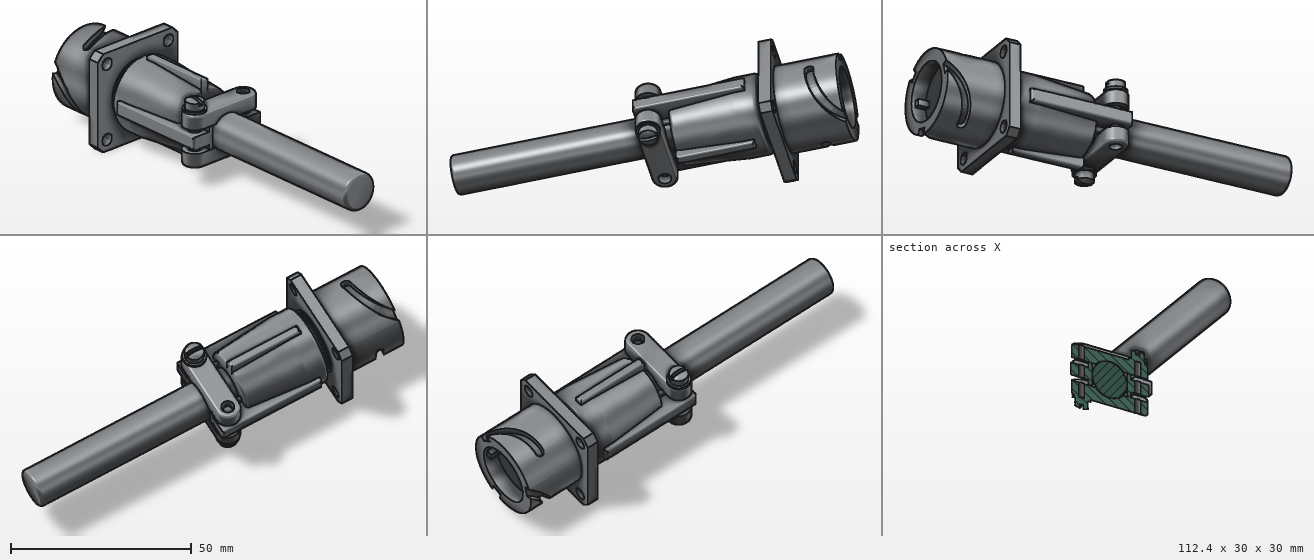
import cadquery as cq
import math

overall_length = 112.4

barrel_radius = 12.4
flange_start = 18.0
flange_end = 21.5
flange_size = 30.0
flange_chamfer = 2.0
collar_radius = 9.7
collar_end = 21.8
neck_radius = 8.8
neck_joint = 22.4
socket_radius = 8.8
socket_depth = 4.5
key_start = 1.1
key_size = 1.9
mount_hole_radius = 1.8
mount_hole_pitch = 23.0

slot_count = 3
slot_start_angle = 15.0
slot_sweep = 76.0
slot_end_x = 7.8
slot_radius = 1.29
slot_depth = 1.8
slot_overrun = 1.7
slot_stations = 16

shell_start = 23.5
shell_radius = 11.5
cone_start = 29.8
cone_end = 48.8
cone_end_radius = 9.8
shell_round = 1.0
fin_start = 26.4
fin_reach = 12.7
fin_round = 0.7
top_fin_thickness = 2.5
side_fin_thickness = 4.0
cheek_inner = 5.6
cheek_outer = 7.0
cheek_round = 0.6
clamp_gap_half = 3.6

bar_width = 7.2
bar_end = 58.2
bar_top = 8.2
bar_round = 1.0
clamp_hole_radius = 1.8
screw_radius = 1.5
screw_tip = 5.6
washer_radius = 3.4
washer_top = 8.9
head_radius = 2.7
head_top = 12.0
dome_height = 0.8
screw_slot_width = 1.0
screw_slot_depth = 1.6

bar_x = bar_end - bar_width / 2
screw_y = fin_reach - bar_width / 2

cable_radius = 5.6
cable_start = cone_start
cable_round = 1.0


def x_cylinder(radius, start, end):
    """Cylinder on the X axis between two X positions."""
    return cq.Workplane("YZ").workplane(offset=start).circle(radius).extrude(end - start)


def z_cylinder(radius, y, bottom, top):
    """Cylinder along Z at a clamp screw position."""
    return cq.Workplane("XY").workplane(offset=bottom).center(bar_x, y).circle(radius).extrude(top - bottom)


def block(x_range, y_range, z_range):
    """Axis-aligned box given by its limits."""
    sizes = [high - low for low, high in (x_range, y_range, z_range)]
    corner = (x_range[0], y_range[0], z_range[0])
    return cq.Workplane("XY").box(*sizes, centered=False).translate(corner)


def on_barrel(radius, x, angle):
    """Point at an angle measured from -Y toward +Z around the X axis."""
    return cq.Vector(x, -radius * math.cos(angle), radius * math.sin(angle))


def slot_cutter():
    """Round-ended bayonet slot with parallel walls, open at the mating face."""
    floor = barrel_radius - slot_depth
    outside = barrel_radius + slot_depth
    run = barrel_radius * math.radians(slot_sweep)
    arc_radius = (run**2 + slot_end_x**2) / (2 * slot_end_x)
    end_angle = math.radians(slot_start_angle - slot_sweep)

    sections = []
    for i in range(slot_stations + 1):
        distance = (run + slot_overrun) * i / slot_stations
        tilt = math.asin(distance / arc_radius)
        x = slot_end_x - arc_radius * (1 - math.cos(tilt))
        angle = end_angle + distance / barrel_radius
        around = on_barrel(slot_radius * math.sin(tilt), 0, angle + math.pi / 2)
        across = around + cq.Vector(slot_radius * math.cos(tilt), 0, 0)
        bottom = on_barrel(floor, x, angle)
        top = on_barrel(outside, x, angle)
        corners = [bottom - across, bottom + across, top + across, top - across]
        sections.append(cq.Wire.makePolygon(corners, close=True))
    track = cq.Workplane(cq.Solid.makeLoft(sections, ruled=True))

    end_point = on_barrel(floor, slot_end_x, end_angle)
    end_direction = on_barrel(1, 0, end_angle)
    round_end = cq.Solid.makeCylinder(slot_radius, outside - floor, end_point, end_direction)
    return track.union(cq.Workplane(round_end))


def make_receptacle():
    flange = (
        cq.Workplane("YZ").workplane(offset=flange_start)
        .rect(flange_size, flange_size).extrude(flange_end - flange_start)
        .edges("|X").chamfer(flange_chamfer)
    )
    mount_holes = (
        cq.Workplane("YZ").workplane(offset=flange_start)
        .rect(mount_hole_pitch, mount_hole_pitch, forConstruction=True).vertices()
        .circle(mount_hole_radius).extrude(flange_end - flange_start)
    )
    body = x_cylinder(barrel_radius, 0, flange_start).union(flange.cut(mount_holes))
    body = body.union(x_cylinder(collar_radius, flange_end, collar_end))
    body = body.union(x_cylinder(neck_radius, collar_end, neck_joint))
    body = body.cut(x_cylinder(socket_radius, 0, socket_depth))

    key = block(
        (key_start, socket_depth),
        (socket_radius - key_size, (socket_radius + barrel_radius) / 2 - slot_depth / 2),
        (-key_size / 2, key_size / 2),
    )
    body = body.union(key)

    cutter = slot_cutter()
    for i in range(slot_count):
        body = body.cut(cutter.rotate((0, 0, 0), (1, 0, 0), i * 360 / slot_count))
    return body


def make_fin(end, thickness):
    """Fin across the full shell, lying in the XY plane, with rounded outer edges."""
    fin = block((fin_start, end), (-fin_reach, fin_reach), (-thickness / 2, thickness / 2))
    return fin.faces("<Y or >Y").edges().fillet(fin_round)


def make_clamp_bar():
    """Upper clamp bar with a screw hole at each end."""
    bar = (
        cq.Workplane("XY").workplane(offset=clamp_gap_half).center(bar_x, 0)
        .slot2D(2 * screw_y + bar_width, bar_width, 90).extrude(bar_top - clamp_gap_half)
        .faces(">Z").edges().fillet(bar_round)
    )
    for y in (-screw_y, screw_y):
        bar = bar.cut(z_cylinder(clamp_hole_radius, y, clamp_gap_half, bar_top))
    return bar


def make_screw():
    """Slotted clamp screw with a domed head and its washer, at -Y, head up."""
    dome_radius = (head_radius**2 + dome_height**2) / (2 * dome_height)
    dome = cq.Workplane("XY").sphere(dome_radius).translate((bar_x, -screw_y, head_top - dome_radius))
    head = z_cylinder(head_radius, -screw_y, washer_top, head_top).intersect(dome)
    slot = block(
        (bar_x - head_radius, bar_x + head_radius),
        (-screw_y - screw_slot_width / 2, -screw_y + screw_slot_width / 2),
        (head_top - screw_slot_depth, head_top),
    )
    washer = z_cylinder(washer_radius, -screw_y, bar_top, washer_top)
    shank = z_cylinder(screw_radius, -screw_y, -screw_tip, bar_top)
    return head.cut(slot).union(washer).union(shank)


def make_backshell():
    profile = (
        cq.Workplane("XY").moveTo(shell_start, 0)
        .lineTo(shell_start, shell_radius).lineTo(cone_start, shell_radius)
        .lineTo(cone_end, cone_end_radius).lineTo(cone_end, 0).close()
    )
    shell = profile.revolve(360, (0, 0, 0), (1, 0, 0))
    shell = shell.faces("<X or >X").edges().fillet(shell_round)
    shell = shell.union(x_cylinder(neck_radius, neck_joint, shell_start))

    shell = shell.union(make_fin(cone_end, top_fin_thickness).rotate((0, 0, 0), (1, 0, 0), 90))
    shell = shell.union(make_fin(bar_end, side_fin_thickness))

    throat = block((cone_end, bar_end), (-cheek_inner, cheek_inner), (-bar_top, bar_top))
    shell = shell.cut(throat)
    for y in (cheek_inner, -cheek_outer):
        cheek = block(
            (cone_end, bar_end),
            (y, y + cheek_outer - cheek_inner),
            (-clamp_gap_half, clamp_gap_half),
        )
        shell = shell.union(cheek.edges("|X").fillet(cheek_round))
    for y in (-screw_y, screw_y):
        shell = shell.cut(z_cylinder(clamp_hole_radius, y, -side_fin_thickness / 2, side_fin_thickness / 2))

    for turn in (0, 180):
        for piece in (make_clamp_bar(), make_screw()):
            shell = shell.union(piece.rotate((0, 0, 0), (1, 0, 0), turn))
    return shell.cut(x_cylinder(cable_radius, cable_start, bar_end))


def make_cable():
    cable = x_cylinder(cable_radius, cable_start, overall_length)
    return cable.faces(">X").edges().fillet(cable_round)


receptacle = make_receptacle()
backshell = make_backshell()
cable = make_cable()

result = cq.Compound.makeCompound([receptacle.val(), backshell.val(), cable.val()])